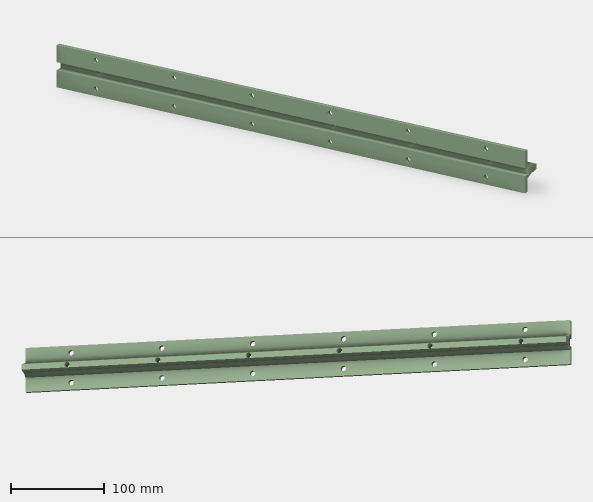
import cadquery as cq

length = 599.5
depth = 22.0
height = 48.0

flange_thickness = 5.0
channel_depth = 7.0
channel_half_height = 4.5
root_half_height = 8.5
neck_half_height = 4.5
nose_half_height = 3.0
neck_start = 13.0
nose_start = 17.0

hole_diameter = 5.7
hole_count = 6
hole_pitch = length / hole_count
hole_row_offset = 16.0


def make_rail():
    """Extrude the symmetric flanged section with its front channel."""
    front = -depth / 2
    back = depth / 2
    upper_half = [
        (front + channel_depth, channel_half_height),
        (front, channel_half_height),
        (front, height / 2),
        (front + flange_thickness, height / 2),
        (front + flange_thickness, root_half_height),
        (front + neck_start, neck_half_height),
        (front + nose_start, neck_half_height),
        (back, nose_half_height),
    ]
    lower_half = [(y, -z) for y, z in reversed(upper_half)]
    section = cq.Workplane("YZ").polyline(upper_half + lower_half).close()
    return section.extrude(length / 2, both=True)


def make_holes():
    """Three rows of evenly spaced drills along Y: one per flange and one on the mid plane."""
    first_hole = -(hole_count - 1) * hole_pitch / 2
    centers = [
        (first_hole + i * hole_pitch, z)
        for i in range(hole_count)
        for z in (-hole_row_offset, 0, hole_row_offset)
    ]
    drills = cq.Workplane("XZ").pushPoints(centers).circle(hole_diameter / 2)
    return drills.extrude(depth, both=True)


result = make_rail().cut(make_holes())